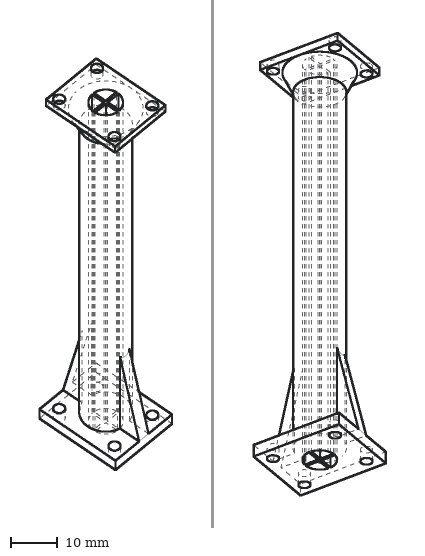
import cadquery as cq

total_height = 102.0

base_length = 22.0
base_width = 18.0
base_thickness = 3.0

top_length = 20.0
top_width = 16.0
top_thickness = 2.0

hole_diameter = 2.6
hole_spacing_x = 16.0
hole_spacing_y = 12.0

column_diameter = 11.4
bore_diameter = 7.4
flare_diameter = 16.0
flare_height = 5.0

web_thickness = 0.6

gusset_thickness = 3.0
gusset_height = 25.0
gusset_top_inset = 0.7

top_plate_z = total_height - top_thickness
flare_z = top_plate_z - flare_height
column_radius = column_diameter / 2
flare_radius = flare_diameter / 2


def plate(length, width, thickness, bottom_z):
    """Rectangular plate centred on the column axis, with four corner holes."""
    blank = cq.Workplane("XY", origin=(0, 0, bottom_z)).rect(length, width).extrude(thickness)
    holes = (
        cq.Workplane("XY", origin=(0, 0, bottom_z))
        .rect(hole_spacing_x, hole_spacing_y, forConstruction=True)
        .vertices()
        .circle(hole_diameter / 2)
        .extrude(thickness)
    )
    return blank.cut(holes)


def column():
    """Solid round column, flaring out conically under the top plate."""
    profile = [
        (0, base_thickness),
        (column_radius, base_thickness),
        (column_radius, flare_z),
        (flare_radius, top_plate_z),
        (0, top_plate_z),
    ]
    return cq.Workplane("XZ").polyline(profile).close().revolve(360, (0, 0), (0, 1))


def gussets():
    """Pair of gussets as one trapezoid running through the column."""
    half_base = base_length / 2
    half_top = column_radius - gusset_top_inset
    gusset_top_z = base_thickness + gusset_height
    profile = [
        (-half_base, base_thickness),
        (half_base, base_thickness),
        (half_top, gusset_top_z),
        (-half_top, gusset_top_z),
    ]
    return cq.Workplane("XZ").polyline(profile).close().extrude(gusset_thickness / 2, both=True)


def bore():
    """Four quarter-round passages: the full-height bore less its crossed webs."""
    passage = cq.Workplane("XY").circle(bore_diameter / 2).extrude(total_height)
    web_x = cq.Workplane("XY").rect(bore_diameter, web_thickness).extrude(total_height)
    web_y = cq.Workplane("XY").rect(web_thickness, bore_diameter).extrude(total_height)
    return passage.cut(web_x).cut(web_y)


base_plate = plate(base_length, base_width, base_thickness, 0)
top_plate = plate(top_length, top_width, top_thickness, top_plate_z)
result = base_plate.union(column()).union(gussets()).union(top_plate).cut(bore())